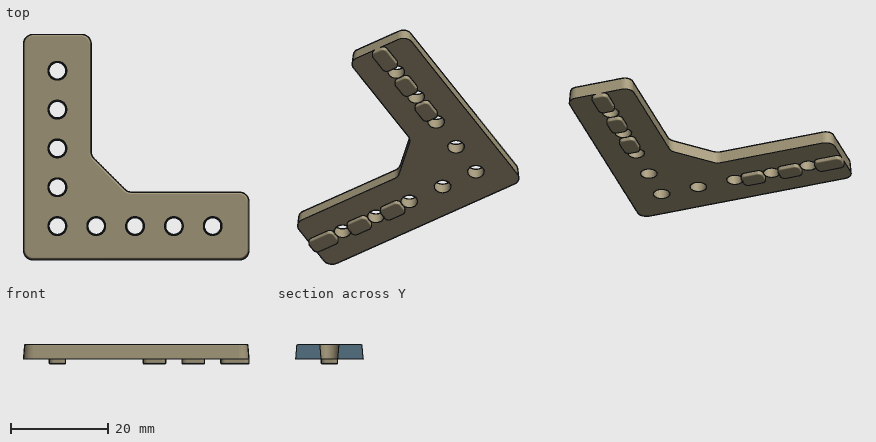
import cadquery as cq
import math

arm_length = 46.5
arm_width = 14.0
plate_thickness = 3.0
corner_radius = 2.0
gusset_leg = 7.5
side_draft_inset = 0.25
top_edge_radius = 0.25

hole_pitch = 8.0
holes_per_arm = 5
hole_diameter = 3.4
hole_margin = arm_width / 2

tab_height = 1.0
tab_width = 3.4
tab_corner_radius = 1.0
tab_hole_clearance = 1.65
tab_edge_radius = 0.25
first_tab_hole = 2

side_draft_angle = math.degrees(math.atan(side_draft_inset / plate_thickness))
hole_top_diameter = hole_diameter + 2 * side_draft_inset
hole_positions = [hole_margin + i * hole_pitch for i in range(holes_per_arm)]


def swap_x_and_y(shape):
    """Mirror across the diagonal, which carries the X arm onto the Y arm."""
    return shape.mirror("YZ").rotate((0, 0, 0), (0, 0, 1), -90)


def make_outline():
    gusset_end = arm_width + gusset_leg
    corners = [
        (0, 0),
        (arm_length, 0),
        (arm_length, arm_width),
        (gusset_end, arm_width),
        (arm_width, gusset_end),
        (arm_width, arm_length),
        (0, arm_length),
    ]
    closed_corners = corners + corners[:1]
    return cq.Sketch().polygon(closed_corners).vertices().fillet(corner_radius)


def make_plate():
    plate = (
        cq.Workplane("XY")
        .placeSketch(make_outline())
        .extrude(plate_thickness, taper=side_draft_angle)
    )
    return plate.faces(">Z").edges().fillet(top_edge_radius)


def make_tab(start, end):
    tab = (
        cq.Workplane("XY")
        .center((start + end) / 2, hole_margin)
        .rect(end - start, tab_width)
        .extrude(-tab_height)
    )
    tab = tab.edges("|Z").fillet(tab_corner_radius)
    return tab.faces("<Z").edges().fillet(tab_edge_radius)


def make_arm_tabs():
    tab_holes = hole_positions[first_tab_hole:]
    tab_starts = [x + tab_hole_clearance for x in tab_holes]
    tab_ends = [x - tab_hole_clearance for x in tab_holes[1:]] + [arm_length]
    return [make_tab(start, end) for start, end in zip(tab_starts, tab_ends)]


def make_hole(x, y):
    """A hole through the plate that widens evenly up to the top face."""
    bottom_centre = cq.Vector(x, y, 0)
    cone = cq.Solid.makeCone(
        hole_diameter / 2, hole_top_diameter / 2, plate_thickness, pnt=bottom_centre
    )
    return cq.Workplane("XY").add(cone)


result = make_plate()
for arm_tab in make_arm_tabs():
    result = result.union(arm_tab).union(swap_x_and_y(arm_tab))

for position in hole_positions:
    result = result.cut(make_hole(position, hole_margin))
for position in hole_positions[1:]:
    result = result.cut(make_hole(hole_margin, position))